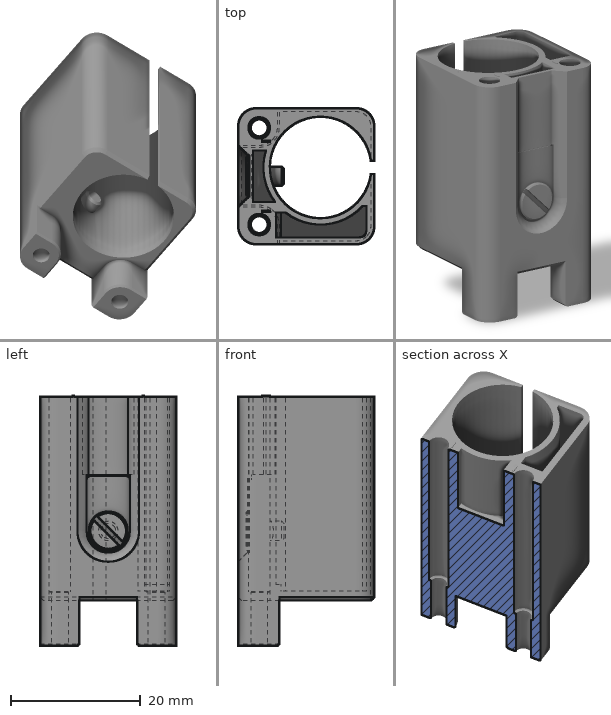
import cadquery as cq

SIDE = 21.0
HALF = SIDE / 2
TOTAL_HEIGHT = 38.55
MARK_HEIGHT = 0.15
TOP_Z = TOTAL_HEIGHT - MARK_HEIGHT
LEG_LENGTH = 6.95
CORNER_RADIUS = 2.8
BOTTOM_CHAMFER = 0.55

LEG_DEPTH = 6.35
LEG_GAP = 8.9
LEG_WIDTH = (SIDE - LEG_GAP) / 2
LEG_ROUND = 3.1
LEG_CHAMFER = 0.3

BORE_DIAMETER = 15.6
BORE_X = 2.2
BORE_Y = 1.35
SLIT_WIDTH = 2.0

BORE_WALL = 1.0
SIDE_POCKET_X = -8.2
SIDE_POCKET_WIDTH = 8.0
SIDE_POCKET_DEPTH = 12.0
FRONT_POCKET_MIN_X = -4.65
FRONT_POCKET_MAX_X = 9.25
FRONT_POCKET_MIN_Y = -9.4
FRONT_POCKET_LEFT_Y = -5.6
FRONT_POCKET_RIGHT_Y = -4.6
FRONT_POCKET_CORNER = 1.0
FRONT_POCKET_FLOOR_Z = LEG_LENGTH + 1.5
LEDGE_WIDTH = 0.75
LEDGE_HEIGHT = 1.0

HOLE_X = -7.25
HOLE_Y = 7.45
HOLE_DIAMETER = 3.3
HOLE_LOWER_DIAMETER = 2.6
HOLE_DEPTH = 30.0
HOLE_STEP_HEIGHT = 0.2

RECESS_WIDTH = 9.5
RECESS_DEPTH = 1.7
WALL_ANGLE = 45

SEAT_WIDTH = 6.65
SEAT_DEPTH = 2.1
SEAT_TOP_Z = TOP_Z - 12.1
PLATE_FACE_DEPTH = 1.75
PLATE_TOP_GAP = 0.15
PLATE_CORNER = 0.5

SCREW_Z = TOP_Z - 20.7
HEAD_DIAMETER = 6.0
HEAD_FACE_DEPTH = 1.2
HEAD_CHAMFER_HEIGHT = 0.25
HEAD_CHAMFER_WIDTH = 0.15
SCREW_SLOT_WIDTH = 0.8
SCREW_SLOT_DEPTH = 0.5
SCREW_SLOT_ANGLE = 45
PIN_DIAMETER = 3.0
PIN_TIP_X = -3.45
PIN_CHAMFER = 0.35

MARK_X = -6.2
MARK_Y = 5.4
MARK_LENGTH = 1.2
MARK_WIDTH = 0.25


def box(x0, x1, y0, y1, z0, z1):
    """Box between two opposite corners."""
    return cq.Workplane("XY").box(x1 - x0, y1 - y0, z1 - z0, centered=False).translate((x0, y0, z0))


def upright_cylinder(x, y, diameter, z0, z1):
    return cq.Workplane("XY", origin=(x, y, z0)).circle(diameter / 2).extrude(z1 - z0)


def rounded_block(z0, z1):
    block = box(-HALF, HALF, -HALF, HALF, z0, z1)
    return block.edges("|Z").fillet(CORNER_RADIUS)


def leg():
    """Leg under the +Y corner, its inner corner rounded."""
    inner_x = -HALF + LEG_DEPTH
    inner_y = HALF - LEG_WIDTH
    post = box(-HALF, inner_x, inner_y, HALF, 0, TOP_Z)
    post = post.edges("|Z and >X and <Y").fillet(LEG_ROUND)
    post = post.edges("<Z and (>X or <Y)").chamfer(LEG_CHAMFER)
    return post.intersect(rounded_block(0, TOP_Z))


def body():
    block = rounded_block(LEG_LENGTH, TOP_Z).faces("<Z").chamfer(BOTTOM_CHAMFER)
    post = leg()
    return block.union(post).union(post.mirror("XZ"))


def bore_cutter():
    bore = upright_cylinder(BORE_X, BORE_Y, BORE_DIAMETER, 0, TOP_Z)
    slit = box(BORE_X, HALF, BORE_Y - SLIT_WIDTH / 2, BORE_Y + SLIT_WIDTH / 2, 0, TOP_Z)
    return bore.union(slit)


def pocket_cutters():
    """Pockets on the -X and -Y sides, both bounded by a wall around the bore."""
    bore_sleeve = upright_cylinder(BORE_X, BORE_Y, BORE_DIAMETER + 2 * BORE_WALL, 0, TOP_Z)
    half_width = SIDE_POCKET_WIDTH / 2
    side = box(SIDE_POCKET_X, BORE_X, -half_width, half_width, TOP_Z - SIDE_POCKET_DEPTH, TOP_Z)

    front = (
        cq.Workplane("XY", origin=(0, 0, FRONT_POCKET_FLOOR_Z))
        .moveTo(FRONT_POCKET_MIN_X, FRONT_POCKET_MIN_Y)
        .lineTo(FRONT_POCKET_MAX_X, FRONT_POCKET_MIN_Y)
        .lineTo(FRONT_POCKET_MAX_X, FRONT_POCKET_RIGHT_Y)
        .lineTo(BORE_X, FRONT_POCKET_RIGHT_Y)
        .lineTo(BORE_X, FRONT_POCKET_LEFT_Y)
        .lineTo(FRONT_POCKET_MIN_X, FRONT_POCKET_LEFT_Y)
        .close()
        .extrude(TOP_Z - FRONT_POCKET_FLOOR_Z)
    )
    front = front.edges("|Z and >X and <Y").fillet(FRONT_POCKET_CORNER)
    ledge = box(
        FRONT_POCKET_MIN_X,
        FRONT_POCKET_MIN_X + LEDGE_WIDTH,
        FRONT_POCKET_MIN_Y,
        FRONT_POCKET_LEFT_Y,
        FRONT_POCKET_FLOOR_Z,
        FRONT_POCKET_FLOOR_Z + LEDGE_HEIGHT,
    )
    return side.cut(bore_sleeve).union(front.cut(bore_sleeve).cut(ledge))


def hole_cutter(y):
    """Wide upper hole with a conical step to the narrower lower hole."""
    radius = HOLE_DIAMETER / 2
    lower_radius = HOLE_LOWER_DIAMETER / 2
    step_z = TOP_Z - HOLE_DEPTH
    profile = (
        cq.Workplane("XZ")
        .polyline([
            (0, 0),
            (lower_radius, 0),
            (lower_radius, step_z - HOLE_STEP_HEIGHT),
            (radius, step_z),
            (radius, TOP_Z),
            (0, TOP_Z),
        ])
        .close()
    )
    return profile.revolve(360, (0, 0, 0), (0, 1, 0)).translate((HOLE_X, y, 0))


def u_outline(width, top_z):
    """U shape on the -X face, its round end centred on the screw."""
    radius = width / 2
    return (
        cq.Workplane("YZ", origin=(-HALF, 0, 0))
        .moveTo(-radius, top_z)
        .lineTo(-radius, SCREW_Z)
        .threePointArc((0, SCREW_Z - radius), (radius, SCREW_Z))
        .lineTo(radius, top_z)
        .close()
    )


def recess_cutter():
    """Recess open at the top and narrowing inwards, with the screw seat in its floor."""
    open_z = TOP_Z + 2 * RECESS_DEPTH
    recess = u_outline(RECESS_WIDTH, open_z).extrude(RECESS_DEPTH, taper=WALL_ANGLE)
    seat = u_outline(SEAT_WIDTH, SEAT_TOP_Z).extrude(SEAT_DEPTH)
    return recess.union(seat)


def seat_plate():
    """Plate in the screw seat, with rounded top corners and a small gap above it."""
    plate = u_outline(SEAT_WIDTH, SEAT_TOP_Z - PLATE_TOP_GAP).extrude(SEAT_DEPTH)
    plate = plate.edges("|X and >Z").fillet(PLATE_CORNER)
    plate_face = -HALF + PLATE_FACE_DEPTH
    return plate.intersect(box(plate_face, 0, -HALF, HALF, 0, TOP_Z))


def screw():
    """Slotted head on the plate and a pin reaching into the bore."""
    head_x = -HALF + HEAD_FACE_DEPTH
    face = cq.Workplane("YZ", origin=(head_x, 0, SCREW_Z))
    head = face.circle(HEAD_DIAMETER / 2).extrude(PLATE_FACE_DEPTH - HEAD_FACE_DEPTH)
    head = head.faces("<X").chamfer(HEAD_CHAMFER_WIDTH, HEAD_CHAMFER_HEIGHT)
    pin = face.circle(PIN_DIAMETER / 2).extrude(PIN_TIP_X - head_x)
    return head.union(pin.faces(">X").chamfer(PIN_CHAMFER))


def screw_slot_cutter():
    head_x = -HALF + HEAD_FACE_DEPTH
    return (
        cq.Workplane("YZ", origin=(head_x, 0, SCREW_Z))
        .transformed(rotate=(0, 0, SCREW_SLOT_ANGLE))
        .rect(HEAD_DIAMETER, SCREW_SLOT_WIDTH)
        .extrude(SCREW_SLOT_DEPTH)
    )


def index_mark(y):
    mark = cq.Workplane("XY", origin=(MARK_X, y, TOP_Z))
    return mark.rect(MARK_LENGTH, MARK_WIDTH).extrude(MARK_HEIGHT)


result = body().cut(bore_cutter()).cut(pocket_cutters()).cut(recess_cutter())
result = result.union(seat_plate()).union(screw()).cut(screw_slot_cutter())
for side in (-1, 1):
    result = result.cut(hole_cutter(side * HOLE_Y))
    result = result.union(index_mark(side * MARK_Y))
result = cq.Workplane(result.solids().val())